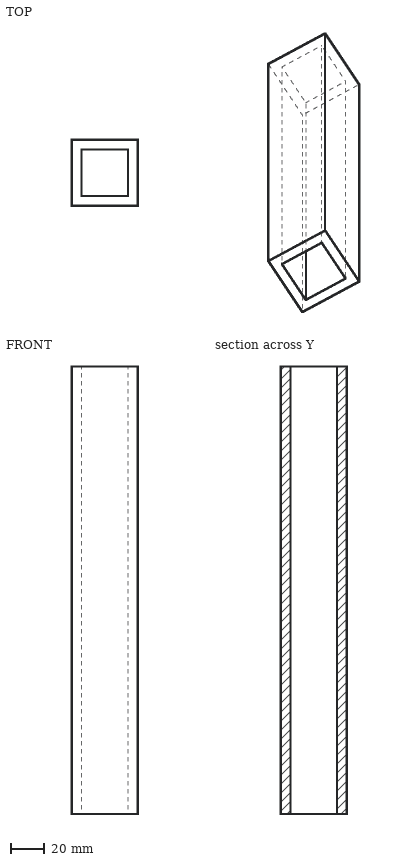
import cadquery as cq

outer_width = 40.0
wall_thickness = 6.0
length = 270.0

bore_width = outer_width - 2 * wall_thickness

result = (
    cq.Workplane("XY")
    .rect(outer_width, outer_width)
    .rect(bore_width, bore_width)
    .extrude(length)
)